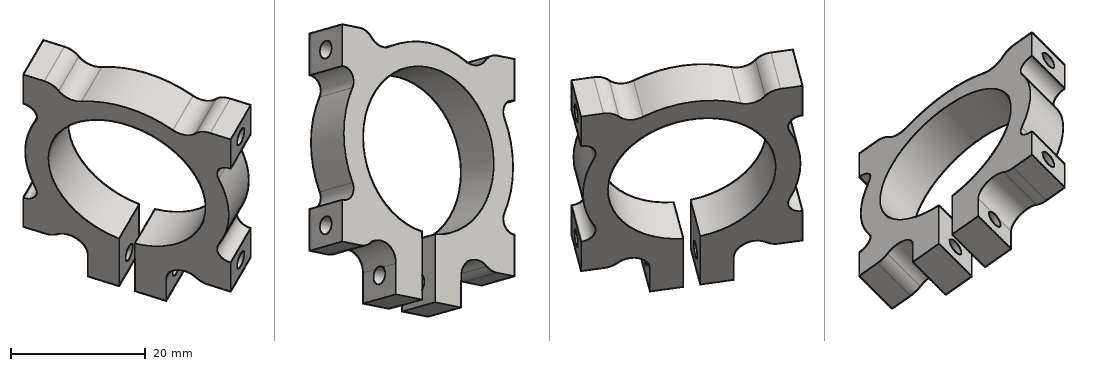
import cadquery as cq
import math

thickness = 7.62
bore_radius = 12.7
ring_radius = 16.48

width = 33.55
half_width = width / 2
half_height = 16.65
lug_height = 6.4
side_notch_radius = 2.05

blend_radius = 3.0
top_valley_x = 8.75

total_height = 39.7
leg_bottom = half_height - total_height
leg_outer_x = 6.35
slit_width = 2.55
valley_end_z = -18.3

hole_diameter = 2.7
lug_hole_depth = 5.95
drill_point_angle = 118.0
clamp_hole_height = 3.6


def toward(start, end, distance):
    """Point at a distance from start on the way to end."""
    length = math.dist(start, end)
    return tuple(s + (e - s) * distance / length for s, e in zip(start, end))


def arc_to(sketch, start, end, center, radius):
    """Add the short arc from start to end around center."""
    middle_of_chord = ((start[0] + end[0]) / 2, (start[1] + end[1]) / 2)
    return sketch.threePointArc(toward(center, middle_of_chord, radius), end)


def convex_center(valley_center, edge_z):
    """Center of the rounded lug corner that is tangent to a valley and to a horizontal edge."""
    z = edge_z - math.copysign(blend_radius, edge_z)
    run = math.sqrt((2 * blend_radius) ** 2 - (valley_center[1] - z) ** 2)
    return (valley_center[0] + run, z)


def half_body():
    """The +X half of the body, with solid material where the bore and slit will be."""
    ring_center = (0, 0)

    top_valley = (top_valley_x, math.sqrt((ring_radius + blend_radius) ** 2 - top_valley_x ** 2))
    top_round = convex_center(top_valley, half_height)
    top_ring_end = toward(ring_center, top_valley, ring_radius)
    top_blend = toward(top_valley, top_round, blend_radius)
    top_flat_start = (top_round[0], half_height)

    lug_inner_z = half_height - lug_height
    notch_z = lug_inner_z - side_notch_radius
    notch_x = math.sqrt((ring_radius + side_notch_radius) ** 2 - notch_z ** 2)
    upper_notch = (notch_x, notch_z)
    lower_notch = (notch_x, -notch_z)
    upper_notch_start = (notch_x, lug_inner_z)
    lower_notch_end = (notch_x, -lug_inner_z)
    upper_ring_start = toward(ring_center, upper_notch, ring_radius)
    lower_ring_end = toward(ring_center, lower_notch, ring_radius)

    bottom_valley = (leg_outer_x + blend_radius, valley_end_z)
    bottom_round = convex_center(bottom_valley, -half_height)
    bottom_flat_end = (bottom_round[0], -half_height)
    bottom_blend = toward(bottom_valley, bottom_round, blend_radius)
    valley_peak = (bottom_valley[0], valley_end_z + blend_radius)
    leg_start = (leg_outer_x, valley_end_z)

    outline = cq.Workplane("XZ").moveTo(0, ring_radius)
    outline = arc_to(outline, (0, ring_radius), top_ring_end, ring_center, ring_radius)
    outline = arc_to(outline, top_ring_end, top_blend, top_valley, blend_radius)
    outline = arc_to(outline, top_blend, top_flat_start, top_round, blend_radius)
    outline = outline.lineTo(half_width, half_height).lineTo(half_width, lug_inner_z)
    outline = outline.lineTo(*upper_notch_start)
    outline = arc_to(outline, upper_notch_start, upper_ring_start, upper_notch, side_notch_radius)
    outline = arc_to(outline, upper_ring_start, lower_ring_end, ring_center, ring_radius)
    outline = arc_to(outline, lower_ring_end, lower_notch_end, lower_notch, side_notch_radius)
    outline = outline.lineTo(half_width, -lug_inner_z).lineTo(half_width, -half_height)
    outline = outline.lineTo(*bottom_flat_end)
    outline = arc_to(outline, bottom_flat_end, bottom_blend, bottom_round, blend_radius)
    outline = arc_to(outline, bottom_blend, valley_peak, bottom_valley, blend_radius)
    outline = arc_to(outline, valley_peak, leg_start, bottom_valley, blend_radius)
    outline = outline.lineTo(leg_outer_x, leg_bottom).lineTo(0, leg_bottom).close()
    return outline.extrude(thickness / 2, both=True)


def lug_hole(z):
    """Blind drilled hole entering the +X side, with a conical end."""
    radius = hole_diameter / 2
    tip_length = radius / math.tan(math.radians(drill_point_angle / 2))
    hole_end = half_width - lug_hole_depth
    return (
        cq.Workplane("XY")
        .moveTo(half_width, 0)
        .lineTo(half_width, radius)
        .lineTo(hole_end, radius)
        .lineTo(hole_end - tip_length, 0)
        .close()
        .revolve(360, (0, 0, 0), (1, 0, 0))
        .translate((0, 0, z))
    )


half = half_body()
lug_hole_z = half_height - lug_height / 2
for z in (lug_hole_z, -lug_hole_z):
    half = half.cut(lug_hole(z))
body = half.union(half.mirror("YZ"))

bore = cq.Workplane("XZ").circle(bore_radius).extrude(thickness / 2, both=True)
slit = cq.Workplane("XY").box(slit_width, thickness, -leg_bottom).translate((0, 0, leg_bottom / 2))

clamp_hole = (
    cq.Workplane("YZ")
    .center(0, leg_bottom + clamp_hole_height)
    .circle(hole_diameter / 2)
    .extrude(half_width, both=True)
)

result = body.cut(bore).cut(slit).cut(clamp_hole)